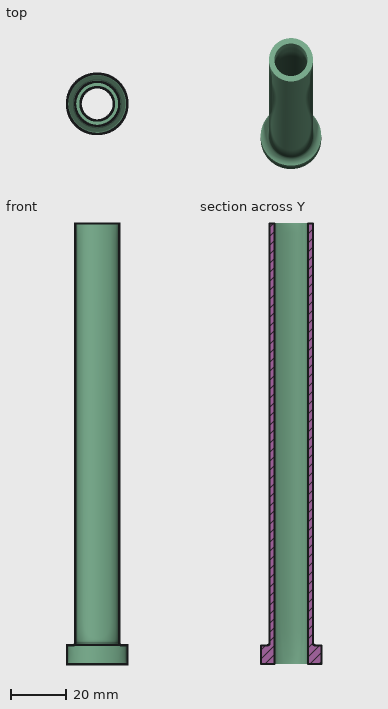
import cadquery as cq

total_length = 160.0
head_diameter = 22.0
head_height = 7.0
shank_diameter = 16.0
bore_diameter = 12.0
neck_fillet_radius = 0.7


def upright_cylinder(diameter, height):
    """Cylinder on the Z axis, standing on the bottom plane of the part."""
    return cq.Workplane("XY").circle(diameter / 2).extrude(height)


def fillet_neck(body):
    """Round the inside corner where the shank meets the top of the head."""
    head_top = body.faces(">Z[-2]")
    neck_edge = head_top.edges(cq.selectors.RadiusNthSelector(0))
    return neck_edge.fillet(neck_fillet_radius)


head = upright_cylinder(head_diameter, head_height)
shank = upright_cylinder(shank_diameter, total_length)
pin = fillet_neck(head.union(shank))

bore = upright_cylinder(bore_diameter, total_length)
result = pin.cut(bore)